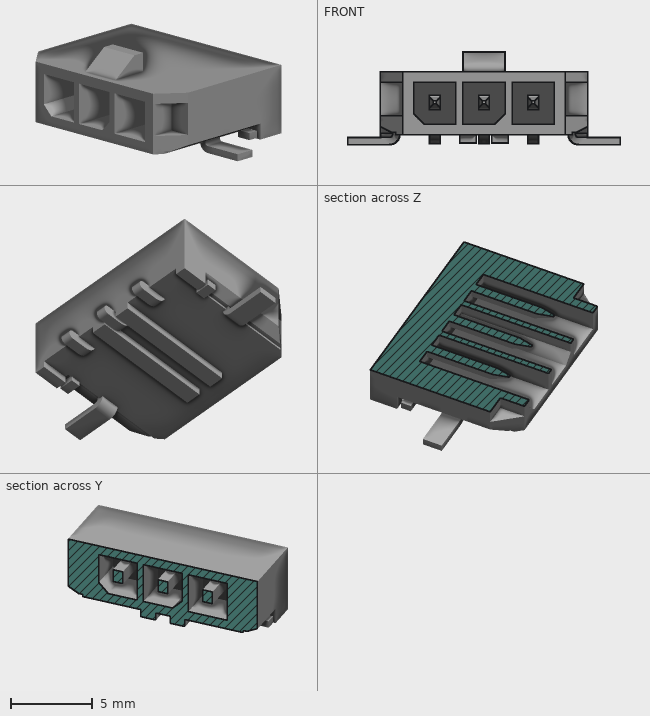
import cadquery as cq
import math


half_width = 6.35
depth = 9.87
body_bottom = 0.6
body_top = 4.46
corner_x = 1.38
corner_y = 1.65
pocket_bottom = 1.76
pocket_top = 3.81

relief_depth = 8.03
relief_wall = 5.38
relief_slope_start = 5.63
relief_ceiling = 0.75
relief_outer_height = 1.12

foot_bottom = 0.1
foot_inner = 0.47
foot_outer = 1.48
foot_front = 1.6

peg_inner = 5.31
peg_outer = 6.3
peg_front = 7.11
peg_length = 0.67
peg_bottom = 0.25
peg_top = 0.7

latch_width = 2.56
latch_front = 0.55
latch_ridge = 2.2
latch_back = 2.96
latch_top = 5.68

pitch = 3.0
contact_positions = [-pitch, 0, pitch]
cavity_size = 2.56
cavity_depth = 7.5
cavity_bottom = 1.25
cavity_chamfer = 0.63
cavity_mid = cavity_bottom + cavity_size / 2

pin_width = 0.67
pin_height = 0.87
pin_rise = 0.05
pin_mid = cavity_mid + pin_rise
pin_shoulder_height = 0.67
pin_tip_size = 0.18
pin_tip_y = 2.0
pin_tip_length = 1.0
pin_shoulder_length = 0.17
tail_end = 10.7
tail_bottom = 0.05
tail_bend_inner = 0.17
tail_bend_outer = tail_bend_inner + pin_width
tail_bend_y = 9.29

tab_half_span = 8.32
tab_front = 3.96
tab_width = 1.3
tab_thickness = 0.45
tab_bend_inner = 0.2
tab_bend_outer = tab_bend_inner + tab_thickness
tab_outer_face = 5.58
tab_top = 1.33

arc_mid = math.sqrt(0.5)


def box(x0, x1, y0, y1, z0, z1):
    """Axis-aligned block between two corners."""
    return cq.Workplane("XY").box(x1 - x0, y1 - y0, z1 - z0, centered=False).translate((x0, y0, z0))


def both_sides(shape):
    """The shape together with its mirror image across the middle of the part."""
    return shape.union(shape.mirror("YZ"))


def make_housing():
    front_half = half_width - corner_x
    outline = [
        (-front_half, 0),
        (front_half, 0),
        (half_width, corner_y),
        (half_width, depth),
        (-half_width, depth),
        (-half_width, corner_y),
    ]
    return cq.Workplane("XY").workplane(offset=body_bottom).polyline(outline).close().extrude(
        body_top - body_bottom
    )


def make_corner_pocket():
    return box(half_width - corner_x, half_width, 0, corner_y, pocket_bottom, pocket_top)


def make_relief():
    profile = [
        (relief_wall, body_bottom),
        (relief_wall, relief_ceiling),
        (relief_slope_start, relief_ceiling),
        (half_width, relief_outer_height),
        (half_width, body_bottom),
    ]
    return cq.Workplane("XZ").polyline(profile).close().extrude(-relief_depth)


def make_leg():
    return box(relief_slope_start, half_width, relief_depth, depth, foot_bottom, body_bottom)


def make_foot():
    return box(foot_inner, foot_outer, foot_front, depth, foot_bottom, body_bottom)


def make_peg():
    return box(peg_inner, peg_outer, peg_front, peg_front + peg_length, peg_bottom, peg_top)


def make_latch():
    profile = [
        (latch_front, body_top),
        (latch_ridge, latch_top),
        (latch_back, latch_top),
        (latch_back, body_top),
    ]
    return cq.Workplane("YZ").polyline(profile).close().extrude(latch_width / 2, both=True)


def make_cavity(x, keyed_edge=None):
    """Square cavity around x; keyed_edge names the lower edge that is cut off, if any."""
    half = cavity_size / 2
    cavity = box(x - half, x + half, 0, cavity_depth, cavity_bottom, cavity_bottom + cavity_size)
    if keyed_edge:
        cavity = cavity.faces("<Z").edges(keyed_edge).chamfer(cavity_chamfer)
    return cavity


def make_pin():
    """Straight bar along Y with a sloped shoulder and a pyramid tip."""
    shoulder_y = pin_tip_y + pin_tip_length
    bar_y = shoulder_y + pin_shoulder_length
    profile = [
        (shoulder_y, pin_mid - pin_shoulder_height / 2),
        (bar_y, pin_mid - pin_height / 2),
        (tail_bend_y - tail_bend_inner, pin_mid - pin_height / 2),
        (tail_bend_y - tail_bend_inner, pin_mid + pin_height / 2),
        (bar_y, pin_mid + pin_height / 2),
        (shoulder_y, pin_mid + pin_shoulder_height / 2),
    ]
    bar = cq.Workplane("YZ").polyline(profile).close().extrude(pin_width / 2, both=True)
    tip = (
        cq.Workplane("XZ", origin=(0, shoulder_y, pin_mid))
        .rect(pin_width, pin_shoulder_height)
        .workplane(offset=pin_tip_length)
        .rect(pin_tip_size, pin_tip_size)
        .loft(ruled=True)
    )
    return bar.union(tip)


def make_tail():
    """Stem down from the pin, bent to the rear and ending in a full round."""
    tail_top = tail_bottom + pin_width
    end_radius = pin_width / 2
    bend_z = tail_bottom + tail_bend_outer
    outer_mid = tail_bend_outer * arc_mid
    inner_mid = tail_bend_inner * arc_mid
    return (
        cq.Workplane("YZ")
        .moveTo(tail_bend_y - tail_bend_outer, pin_mid)
        .lineTo(tail_bend_y - tail_bend_outer, bend_z)
        .threePointArc((tail_bend_y - outer_mid, bend_z - outer_mid), (tail_bend_y, tail_bottom))
        .lineTo(tail_end - end_radius, tail_bottom)
        .threePointArc((tail_end, tail_bottom + end_radius), (tail_end - end_radius, tail_top))
        .lineTo(tail_bend_y, tail_top)
        .threePointArc(
            (tail_bend_y - inner_mid, bend_z - inner_mid), (tail_bend_y - tail_bend_inner, bend_z)
        )
        .lineTo(tail_bend_y - tail_bend_inner, pin_mid)
        .close()
        .extrude(pin_width / 2, both=True)
    )


def make_tab():
    """L-shaped strip anchored in the housing and bent outwards."""
    bend_x = tab_outer_face + tab_bend_inner
    bend_z = tab_bend_outer
    outer_mid = tab_bend_outer * arc_mid
    inner_mid = tab_bend_inner * arc_mid
    return (
        cq.Workplane("XZ", origin=(0, tab_front, 0))
        .moveTo(tab_half_span, 0)
        .lineTo(bend_x, 0)
        .threePointArc((bend_x - outer_mid, bend_z - outer_mid), (bend_x - tab_bend_outer, bend_z))
        .lineTo(bend_x - tab_bend_outer, tab_top)
        .lineTo(tab_outer_face, tab_top)
        .lineTo(tab_outer_face, bend_z)
        .threePointArc((bend_x - inner_mid, bend_z - inner_mid), (bend_x, tab_thickness))
        .lineTo(tab_half_span, tab_thickness)
        .close()
        .extrude(-tab_width)
    )


result = make_housing().cut(both_sides(make_corner_pocket())).cut(both_sides(make_relief()))
for feature in (make_leg(), make_foot(), make_peg()):
    result = result.union(both_sides(feature))
result = result.union(make_latch())

for x, keyed_edge in zip(contact_positions, ("<X", ">X", None)):
    result = result.cut(make_cavity(x, keyed_edge))

contact = make_pin().union(make_tail())
for x in contact_positions:
    result = result.union(contact.translate((x, 0, 0)))
result = result.union(both_sides(make_tab()))